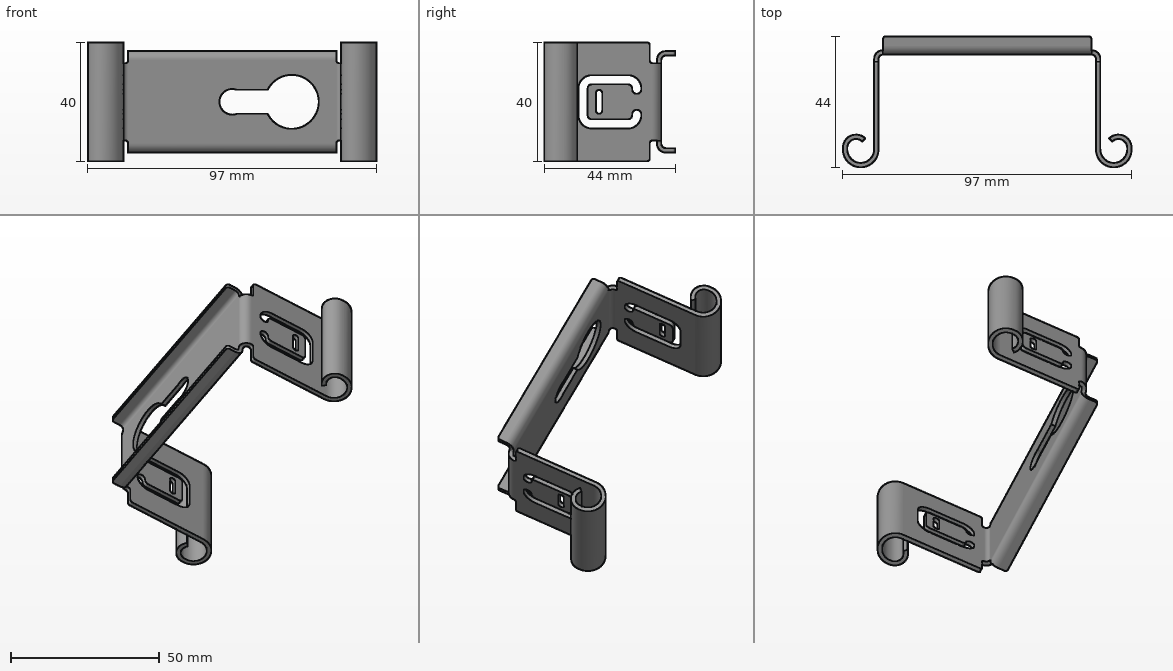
import cadquery as cq
import math


LENGTH = 97.0
DEPTH = 44.0
HEIGHT = 40.0
THICKNESS = 1.6

BEND_INNER = 1.5
BEND_OUTER = BEND_INNER + THICKNESS
CORNER_RADIUS = 1.0

FLANGE_DEPTH = 6.2
FLANGE_SPAN = 34.1

CURL_OUTER = 6.0
CURL_INNER = CURL_OUTER - THICKNESS
LIP_OUTER = 4.5
LIP_INNER = LIP_OUTER - THICKNESS
CURL_FLAT = 0.6
LIP_END_ANGLE = 45.0

LEG_INNER_X = LENGTH / 2 - 2 * CURL_OUTER
LEG_OUTER_X = LEG_INNER_X + THICKNESS
LEG_MIDDLE_X = LEG_INNER_X + THICKNESS / 2
WEB_HALF_LENGTH = LEG_INNER_X - BEND_INNER

STRIP_HEIGHT = 26.0
RELIEF_RADIUS = 0.9
LEG_EDGE_Y = -BEND_INNER - RELIEF_RADIUS

KEYHOLE_X = 20.0
KEYHOLE_RADIUS = 9.0
KEYHOLE_END_RADIUS = 4.3
KEYHOLE_SLOT_WIDTH = 8.0

TAB_BACK_Y = -5.2
TAB_SLOT_LENGTH = 21.05
TAB_SLOT_HEIGHT = 17.8
TAB_SLOT_WIDTH = 3.0
TAB_OUTER_RADIUS = 4.5
TAB_INNER_RADIUS = TAB_OUTER_RADIUS - TAB_SLOT_WIDTH
TAB_NECK_HEIGHT = 5.4

OBLONG_Y = -19.4
OBLONG_LENGTH = 8.0
OBLONG_WIDTH = 2.0


def polar(center, radius, degrees):
    """Point on a circle, at an angle counted from +X."""
    angle = math.radians(degrees)
    return (center[0] + radius * math.cos(angle), center[1] + radius * math.sin(angle))


def make_web():
    """Channel-shaped web: flat plate with a bent flange along each long edge."""
    outer = (
        cq.Workplane("XY")
        .box(2 * WEB_HALF_LENGTH, FLANGE_DEPTH, FLANGE_SPAN, centered=(True, False, True))
        .edges("|Z and >Y")
        .fillet(CORNER_RADIUS)
        .edges("|X and <Y")
        .fillet(BEND_OUTER)
    )
    hollow = (
        cq.Workplane("XY")
        .box(LENGTH, FLANGE_DEPTH, FLANGE_SPAN - 2 * THICKNESS, centered=(True, False, True))
        .edges("|X and <Y")
        .fillet(BEND_INNER)
        .translate((0, THICKNESS, 0))
    )
    return outer.cut(hollow)


def make_keyhole():
    """Cutter for the keyhole: round opening, narrower slot, enlarged round end."""
    front = cq.Workplane("XZ")
    opening = front.center(KEYHOLE_X, 0).circle(KEYHOLE_RADIUS).extrude(THICKNESS, both=True)
    end = front.circle(KEYHOLE_END_RADIUS).extrude(THICKNESS, both=True)
    slot = front.center(KEYHOLE_X / 2, 0).rect(KEYHOLE_X, KEYHOLE_SLOT_WIDTH).extrude(THICKNESS, both=True)
    return opening.union(slot).union(end)


def make_leg_strip():
    """Full-height +X leg with its bend and curl, before reliefs and cutouts."""
    bend = (WEB_HALF_LENGTH, -BEND_INNER)
    curl = (LENGTH / 2 - CURL_OUTER, FLANGE_DEPTH - DEPTH + CURL_OUTER)
    lip = (LENGTH / 2 - LIP_OUTER, curl[1] + CURL_FLAT)
    lip_end = 180 - LIP_END_ANGLE
    lip_middle = lip_end / 2
    return (
        cq.Workplane("XY")
        .moveTo(WEB_HALF_LENGTH, THICKNESS)
        .threePointArc(polar(bend, BEND_OUTER, 45), polar(bend, BEND_OUTER, 0))
        .lineTo(LEG_OUTER_X, curl[1])
        .threePointArc(polar(curl, CURL_INNER, 270), polar(curl, CURL_INNER, 0))
        .lineTo(*polar(lip, LIP_INNER, 0))
        .threePointArc(polar(lip, LIP_INNER, lip_middle), polar(lip, LIP_INNER, lip_end))
        .lineTo(*polar(lip, LIP_OUTER, lip_end))
        .threePointArc(polar(lip, LIP_OUTER, lip_middle), polar(lip, LIP_OUTER, 0))
        .lineTo(*polar(curl, CURL_OUTER, 0))
        .threePointArc(polar(curl, CURL_OUTER, 270), polar(curl, CURL_OUTER, 180))
        .lineTo(*polar(bend, BEND_INNER, 0))
        .threePointArc(polar(bend, BEND_INNER, 45), polar(bend, BEND_INNER, 90))
        .close()
        .extrude(HEIGHT / 2, both=True)
    )


def make_relief():
    """Cutter for the upper relief, rounded where it meets the joining strip."""
    return (
        cq.Workplane("XY")
        .box(LENGTH, DEPTH, HEIGHT, centered=False)
        .edges("<Z and (<X or <Y)")
        .fillet(RELIEF_RADIUS)
        .translate((WEB_HALF_LENGTH, LEG_EDGE_Y, STRIP_HEIGHT / 2))
    )


def leg_block(y_min, y_max, height, radius):
    """Block through the leg, with its edges along X rounded."""
    return (
        cq.Workplane("XY")
        .box(2 * THICKNESS, y_max - y_min, height)
        .edges("|X")
        .fillet(radius)
        .translate((LEG_MIDDLE_X, (y_min + y_max) / 2, 0))
    )


def make_tab_cutter():
    """Cutter for the C-shaped slot around the tab and the oblong hole in it."""
    front_y = TAB_BACK_Y - TAB_SLOT_LENGTH
    around = leg_block(front_y, TAB_BACK_Y, TAB_SLOT_HEIGHT, TAB_OUTER_RADIUS)
    tongue = leg_block(
        front_y + TAB_SLOT_WIDTH,
        TAB_BACK_Y - TAB_SLOT_WIDTH,
        TAB_SLOT_HEIGHT - 2 * TAB_SLOT_WIDTH,
        TAB_INNER_RADIUS,
    )
    end_radius = TAB_SLOT_WIDTH / 2
    end_z = TAB_NECK_HEIGHT / 2 + end_radius
    end_y = TAB_BACK_Y - end_radius
    neck = (
        cq.Workplane("XY")
        .box(2 * THICKNESS, TAB_SLOT_WIDTH, 2 * end_z)
        .translate((LEG_MIDDLE_X, end_y, 0))
    )
    ends = (
        cq.Workplane("YZ", origin=(LEG_MIDDLE_X, 0, 0))
        .pushPoints([(end_y, -end_z), (end_y, end_z)])
        .circle(end_radius)
        .extrude(THICKNESS, both=True)
    )
    oblong = (
        cq.Workplane("YZ", origin=(LEG_MIDDLE_X, OBLONG_Y, 0))
        .slot2D(OBLONG_LENGTH, OBLONG_WIDTH, 90)
        .extrude(THICKNESS, both=True)
    )
    return around.cut(tongue).cut(neck).union(ends).union(oblong)


def make_leg():
    """Finished +X leg."""
    relief = make_relief()
    leg = make_leg_strip().cut(relief).cut(relief.mirror("XY"))
    leg = leg.edges("|X and (>Z or <Z)").fillet(CORNER_RADIUS)
    return leg.cut(make_tab_cutter())


leg = make_leg()
result = make_web().cut(make_keyhole()).union(leg).union(leg.mirror("YZ"))